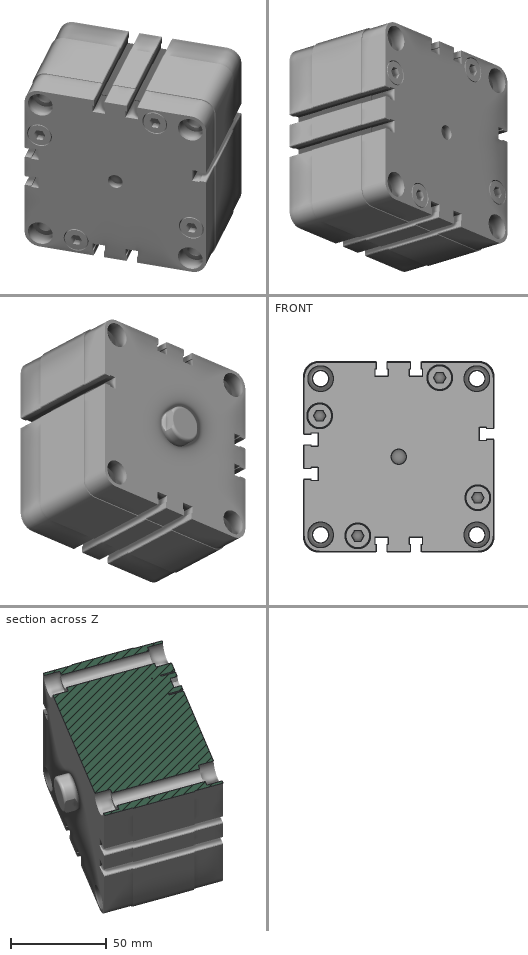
import cadquery as cq
import math

barrel_width = 100.0
cap_width = 99.2
corner_radius = 8.0
cap_length = 16.0
barrel_length = 34.0
block_length = barrel_length + 2 * cap_length

slot_offset = 9.0
single_slot_offset = 12.0
slot_mouth_width = 5.5
slot_inner_width = 6.8
slot_neck_depth = 4.0
slot_depth = 7.5
mouth_chamfer = 0.35

mount_offset = 41.0
mount_diameter = 8.4
mount_bore_diameter = 13.5
mount_bore_depth = 8.5

screw_near = 21.5
screw_far = 41.5
screw_bore_diameter = 13.5
screw_bore_depth = 8.0
screw_head_diameter = 12.5
socket_width = 5.7
socket_depth = 4.0

centre_hole_diameter = 8.0
centre_hole_depth = 4.0

rod_diameter = 20.0
rod_length = 8.0
rod_end_radius = 1.7
rod_flats_width = 17.0
flat_length = 5.8
flat_clearance = 1.0

rod_end = block_length + rod_length


def along_y(start):
    """Sketch plane at the given Y, with local x along X and local y along Z; it faces -Y."""
    return cq.Workplane("XZ", origin=(0, start, 0))


def cylinder(diameter, x, z, start, length):
    """Cylinder along +Y."""
    return along_y(start).center(x, z).circle(diameter / 2).extrude(-length)


def rounded_block(width, start, length):
    return along_y(start).rect(width, width).extrude(-length).edges("|Y").fillet(corner_radius)


def slot_cutter(offset, turn, width, start, length):
    """T-slot opening through the +Z face, turned about the Y axis."""
    top = width / 2
    mouth = slot_mouth_width / 2
    inner = slot_inner_width / 2
    neck_end = barrel_width / 2 - slot_neck_depth
    floor = top - slot_depth
    right_side = [
        (mouth + mouth_chamfer, top),
        (mouth, top - mouth_chamfer),
        (mouth, neck_end),
        (inner, neck_end),
        (inner, floor),
    ]
    left_side = [(-x, z) for x, z in reversed(right_side)]
    outline = [(x + offset, z) for x, z in right_side + left_side]
    cutter = along_y(start).polyline(outline).close().extrude(-length)
    return cutter.rotate((0, 0, 0), (0, 1, 0), turn)


sections = [
    (cap_width, 0, cap_length),
    (barrel_width, cap_length, barrel_length),
    (cap_width, cap_length + barrel_length, cap_length),
]

slots = [
    (turn, offset)
    for turn in (0, 180, -90)
    for offset in (-slot_offset, slot_offset)
]
slots.append((90, -single_slot_offset))

body = None
for width, start, length in sections:
    section = rounded_block(width, start, length)
    for turn, offset in slots:
        section = section.cut(slot_cutter(offset, turn, width, start, length))
    body = section if body is None else body.union(section)

back_start = block_length - mount_bore_depth
for x in (-mount_offset, mount_offset):
    for z in (-mount_offset, mount_offset):
        body = body.cut(cylinder(mount_diameter, x, z, 0, block_length))
        body = body.cut(cylinder(mount_bore_diameter, x, z, 0, mount_bore_depth))
        body = body.cut(cylinder(mount_bore_diameter, x, z, back_start, mount_bore_depth))


def screw_gap(x, z):
    """Ring-shaped gap around a flush screw head, plus its hexagonal socket."""
    bore = cylinder(screw_bore_diameter, x, z, 0, screw_bore_depth)
    head = cylinder(screw_head_diameter, x, z, 0, screw_bore_depth)
    corner_width = socket_width / math.cos(math.pi / 6)
    socket = along_y(0).center(x, z).polygon(6, corner_width).extrude(-socket_depth)
    return bore.cut(head).union(socket)


screw_places = [
    (screw_near, screw_far),
    (screw_far, -screw_near),
    (-screw_near, -screw_far),
    (-screw_far, screw_near),
]
for x, z in screw_places:
    body = body.cut(screw_gap(x, z))

body = body.cut(cylinder(centre_hole_diameter, 0, 0, 0, centre_hole_depth))


def piston_rod():
    """Rod with a rounded end and a flat on each X side that runs out at 45 degrees."""
    rod = cylinder(rod_diameter, 0, 0, block_length, rod_length)
    rod = rod.faces(">Y").fillet(rod_end_radius)
    flat = rod_flats_width / 2
    outside = rod_diameter / 2 + flat_clearance
    for side in (-1, 1):
        relief = (
            cq.Workplane("XY", origin=(0, 0, -rod_diameter / 2))
            .moveTo(side * flat, rod_end)
            .lineTo(side * flat, rod_end - flat_length)
            .lineTo(side * outside, rod_end - flat_length - (outside - flat))
            .lineTo(side * outside, rod_end)
            .close()
            .extrude(rod_diameter)
        )
        rod = rod.cut(relief)
    return rod


result = body.union(piston_rod())